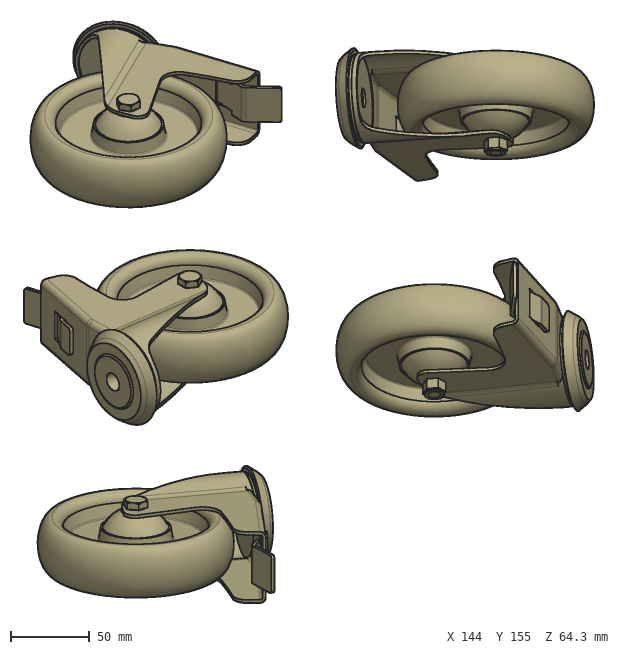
import cadquery as cq
import math


selection_margin = 0.6

wheel_radius = 62.5
ridge_radius = 53.3
tyre_half_width = 17.7
rim_radius = 46.3
rim_half_width = 11.3
well_radius = 44.2
disc_half_width = 2.8
hub_foot_radius = 23.7
hub_top_radius = 22.3
hub_half_length = 10.8
foot_fillet = 0.8
dome_radius = 23.7
hub_bore_radius = math.sqrt(dome_radius ** 2 - hub_half_length ** 2)

sheet = 2.2
base_sheet = 1.5
fork_half_width = 24.0
wall_inner_z = fork_half_width - sheet
fork_top_y = 80.8
skirt_radius = 28.8
skirt_blend = 9.3
fork_edge_radius = 4.0
roof_bend_x = 6.7
roof_bend_radius = 14.0
roof_angle = 12.0
roof_slope = math.tan(math.radians(roof_angle))
skirt_rim_y = 77.5
arm_underside_y = 50.4
fork_end_x = 65.7
envelope_end_x = 69.8
envelope_floor_y = -15.5
slot_start_x = 35.0
slot_end_x = 48.0
slot_half_width = 10.0

swivel_x = -31.3
overall_length = 155.0
head_top_y = overall_length - wheel_radius
head_radius = 32.1
neck_radius = 28.2
neck_top_y = 82.6
lip_radius = 30.7
head_edge_y = 83.4
crown_edge_radius = 28.4
crown_edge_y = 89.0
shoulder_radius = 25.9
shoulder_y = 91.6
boss_foot_radius = 18.6
boss_radius = 17.4
mount_hole_radius = 6.0

lever_sheet = 2.3
lever_half_width = 12.7
tongue_half_width = 9.9
tongue_start_x = 24.6
tongue_bend_x = 36.1
tongue_gap = 0.3
shoulder_offset = 10.5
lever_valley = (57.0, 62.2)
lever_tip = (80.3, 69.0)
lever_bend_radius = 3.1
lever_corner_radius = 2.0

shank_radius = 4.0
bolt_head_flats = 13.5
bolt_head_top_z = 29.5
bolt_head_base_z = 24.6
bolt_collar_radius = 5.7
head_chamfer = 1.0
nut_flats = 12.9
nut_turn = 30.0
nut_hex_end_z = -31.0
nut_end_z = -32.2
nut_collar_radius = 6.2


def rounded_outline(corners):
    """Closed XY outline from (x, y, radius) corners, rounded by tangent arcs."""
    stops = []
    count = len(corners)
    for i, (x, y, radius) in enumerate(corners):
        corner = cq.Vector(x, y, 0)
        back = (cq.Vector(*corners[i - 1][:2], 0) - corner).normalized()
        ahead = (cq.Vector(*corners[(i + 1) % count][:2], 0) - corner).normalized()
        half_angle = back.getAngle(ahead) / 2
        reach = radius / math.tan(half_angle)
        bisector = (back + ahead).normalized()
        middle = corner + bisector * (radius / math.sin(half_angle) - radius)
        stops.append((corner + back * reach, middle, corner + ahead * reach, radius))

    outline = cq.Workplane("XY").moveTo(*stops[0][2].toTuple()[:2])
    for start, middle, end, radius in stops[1:] + stops[:1]:
        outline = outline.lineTo(*start.toTuple()[:2])
        if radius > 0:
            outline = outline.threePointArc(middle.toTuple()[:2], end.toTuple()[:2])
    return outline.close()


def extrude_across(outline, half_width):
    """Extrude an XY outline symmetrically about Z = 0."""
    return outline.extrude(half_width, both=True)


def slab(x_range, y_range, z_range):
    """Box between pairs of limits along each axis."""
    sizes = [high - low for low, high in (x_range, y_range, z_range)]
    return cq.Workplane("XY").box(*sizes, centered=False).translate((x_range[0], y_range[0], z_range[0]))


def cylinder_z(radius, low_z, high_z):
    """Cylinder on the wheel axle."""
    return cq.Workplane("XY").workplane(offset=low_z).circle(radius).extrude(high_z - low_z)


def cylinder_y(radius, low_y, high_y):
    """Cylinder on the swivel axis."""
    base = cq.Workplane("XZ", origin=(swivel_x, low_y, 0))
    return base.circle(radius).extrude(low_y - high_y)


def hex_prism(flats, low_z, high_z, turn=0):
    """Hexagon on the wheel axle; at turn 0 two corners lie on the X axis."""
    across_corners = flats / math.cos(math.pi / 6)
    prism = cq.Workplane("XY").workplane(offset=low_z).polygon(6, across_corners).extrude(high_z - low_z)
    return prism.rotate((0, 0, 0), (0, 0, 1), turn)


def roof_y(x):
    """Height of the sloping top face of the fork."""
    return fork_top_y - (x - roof_bend_x) * roof_slope


def make_tyre():
    """Tyre with an elliptical tread and rounded inner lips."""
    lip_width = ridge_radius - rim_radius
    lip_depth = tyre_half_width - rim_half_width
    diagonal = math.sqrt(0.5)
    lip_x = ridge_radius - lip_width * diagonal
    lip_z = rim_half_width + lip_depth * diagonal
    profile = (
        cq.Workplane("XZ")
        .moveTo(rim_radius, -rim_half_width)
        .threePointArc((lip_x, -lip_z), (ridge_radius, -tyre_half_width))
        .ellipseArc(wheel_radius - ridge_radius, tyre_half_width, -90, 90, startAtCurrent=True)
        .threePointArc((lip_x, lip_z), (rim_radius, rim_half_width))
        .close()
    )
    return profile.revolve(360, (0, 0, 0), (0, 1, 0))


def make_rim():
    """Dished rim with a thin disc and a tapered hub sleeve."""
    half_profile = [
        (rim_radius, rim_half_width),
        (well_radius, disc_half_width),
        (hub_foot_radius, disc_half_width),
        (hub_top_radius, hub_half_length),
        (hub_bore_radius, hub_half_length),
    ]
    mirrored = [(radius, -z) for radius, z in reversed(half_profile)]
    rim = cq.Workplane("XZ").polyline(half_profile + mirrored).close().revolve(360, (0, 0, 0), (0, 1, 0))
    for face_z in (-disc_half_width, disc_half_width):
        disc_edges = cq.selectors.BoxSelector(
            (-wheel_radius, -wheel_radius, face_z - selection_margin),
            (wheel_radius, wheel_radius, face_z + selection_margin),
            True,
        )
        rim = rim.edges("%CIRCLE").edges(disc_edges).fillet(foot_fillet)
    return rim


def make_hub():
    """Hub with a spherical dome at each end, bored for the axle bolt."""
    hub = cylinder_z(hub_bore_radius, -wall_inner_z, wall_inner_z)
    hub = hub.intersect(cq.Workplane("XY").sphere(dome_radius))
    return hub.cut(cylinder_z(shank_radius, -wall_inner_z, wall_inner_z))


def skirt_blend_fill(inset):
    """Round skirt and side walls joined by upright blends, up to the roof edge rounds."""
    half_width = fork_half_width - inset
    top_y = fork_top_y - fork_edge_radius
    seam_x = swivel_x + math.sqrt((skirt_radius - inset) ** 2 - half_width ** 2)
    seams = cq.selectors.BoxSelector(
        (seam_x - selection_margin, envelope_floor_y, -skirt_radius),
        (seam_x + selection_margin, top_y - selection_margin, skirt_radius),
    )
    walls = slab((swivel_x, envelope_end_x), (envelope_floor_y, top_y), (-half_width, half_width))
    joined = walls.union(cylinder_y(skirt_radius - inset, envelope_floor_y, top_y))
    joined = joined.edges(seams).fillet(skirt_blend + inset)
    return joined.intersect(
        slab((swivel_x, 0), (envelope_floor_y, top_y), (-skirt_radius, skirt_radius))
    )


def fork_envelope(inset):
    """Solid bounded by the fork's outer skin, moved inwards by inset."""
    half_width = fork_half_width - inset
    top_y = fork_top_y - inset
    end_y = roof_y(envelope_end_x) - inset
    bend_radius = roof_bend_radius - inset
    side = rounded_outline([
        (swivel_x, envelope_floor_y, 0),
        (envelope_end_x, envelope_floor_y, 0),
        (envelope_end_x, end_y, 0),
        (roof_bend_x, top_y, bend_radius),
        (swivel_x, top_y, 0),
    ])
    arms = extrude_across(side, half_width)
    roof_edges = cq.selectors.BoxSelector(
        (swivel_x + selection_margin, end_y, -skirt_radius),
        (envelope_end_x - selection_margin, top_y + selection_margin, skirt_radius),
    )
    arms = arms.edges("<Z or >Z").edges(roof_edges).fillet(fork_edge_radius - inset)

    skirt = cylinder_y(skirt_radius - inset, envelope_floor_y, top_y)
    return arms.union(skirt).union(skirt_blend_fill(inset))


def make_fork():
    """Sheet metal fork: round skirt, two side walls and a sloping roof."""
    skirt_front_x = swivel_x - head_radius
    skirt_rim = (skirt_front_x, skirt_rim_y, 0)
    skirt_bend = (-45.0, skirt_rim_y, 12.4)
    leg_front_corner = (-13.5, -6.5, 17.0)
    leg_rear_corner = (15.3, -11.2, 7.5)
    arm_throat = (7.8, arm_underside_y, 12.4)
    arm_kink = (37.7, arm_underside_y, 0)
    arm_rear_corner = (61.2, 49.5, 10.0)
    side_outline = rounded_outline([
        (skirt_front_x, head_top_y, 0),
        skirt_rim,
        skirt_bend,
        leg_front_corner,
        leg_rear_corner,
        arm_throat,
        arm_kink,
        arm_rear_corner,
        (fork_end_x, roof_y(fork_end_x), 0),
        (fork_end_x, head_top_y, 0),
    ])
    fork = fork_envelope(0).cut(fork_envelope(sheet))
    fork = fork.intersect(extrude_across(side_outline, skirt_radius))

    fork = fork.cut(cylinder_y(skirt_radius - sheet, fork_top_y - 2 * sheet, fork_top_y - base_sheet))
    fork = fork.cut(cylinder_y(mount_hole_radius, fork_top_y - 2 * sheet, fork_top_y))
    fork = fork.cut(cylinder_z(shank_radius, -fork_half_width, fork_half_width))
    return fork.cut(slab(
        (slot_start_x, slot_end_x),
        (roof_y(slot_end_x) - 2 * sheet, fork_top_y),
        (-slot_half_width, slot_half_width),
    ))


def make_head():
    """Turned swivel head with a raised top boss and a neck on the fork."""
    profile = [
        (mount_hole_radius, fork_top_y),
        (neck_radius, fork_top_y),
        (neck_radius, neck_top_y),
        (lip_radius, neck_top_y),
        (head_radius, head_edge_y),
        (crown_edge_radius, crown_edge_y),
        (shoulder_radius, shoulder_y),
        (boss_foot_radius, shoulder_y),
        (boss_radius, head_top_y),
        (mount_hole_radius, head_top_y),
    ]
    points = [(swivel_x + radius, y) for radius, y in profile]
    return cq.Workplane("XY").polyline(points).close().revolve(360, (swivel_x, 0, 0), (swivel_x, 1, 0))


def strip_outline(path, thickness, bend_radius):
    """Outline of a bent strip of even thickness around an open centre path."""
    points = [cq.Vector(x, y, 0) for x, y in path]
    headings = [(b - a).normalized() for a, b in zip(points, points[1:])]
    upper = []
    lower = []
    for i, point in enumerate(points):
        before = headings[max(i - 1, 0)]
        after = headings[min(i, len(headings) - 1)]
        normal = cq.Vector(-before.y - after.y, before.x + after.x, 0).normalized()
        half_turn = before.getAngle(after) / 2
        offset = normal * (thickness / 2 / math.cos(half_turn))
        turn_sign = math.copysign(1, before.cross(after).z)
        bend = bend_radius if 0 < i < len(points) - 1 else 0
        inner_change = turn_sign * thickness / 2 if bend else 0
        upper.append((point.x + offset.x, point.y + offset.y, bend - inner_change))
        lower.append((point.x - offset.x, point.y - offset.y, bend + inner_change))
    return rounded_outline(upper + lower[::-1])


def make_lever():
    """Bent brake lever: narrow tongue hooked over the roof, wide pedal below."""
    tongue_rise = (tongue_gap + lever_sheet / 2) * math.hypot(1, roof_slope)
    path = [
        (tongue_start_x, roof_y(tongue_start_x) + tongue_rise),
        (tongue_bend_x, roof_y(tongue_bend_x) + tongue_rise),
        lever_valley,
        lever_tip,
    ]
    lever = extrude_across(strip_outline(path, lever_sheet, lever_bend_radius), lever_half_width)

    valley_x, valley_y = lever_valley
    bend_x, bend_y = path[1]
    drop_angle = math.atan2(valley_y - bend_y, valley_x - bend_x)
    shoulder = (
        valley_x - shoulder_offset * math.cos(drop_angle),
        valley_y - shoulder_offset * math.sin(drop_angle),
        0,
    )
    notch_length = valley_x - tongue_start_x
    notch_reach = notch_length / 2
    for low_z, high_z in ((-lever_half_width, -tongue_half_width), (tongue_half_width, lever_half_width)):
        notch = slab((-notch_length, 0), (-notch_reach, notch_reach), (low_z, high_z))
        notch = notch.rotate((0, 0, 0), (0, 0, 1), math.degrees(drop_angle))
        lever = lever.cut(notch.translate(shoulder))

    for end_x in (tongue_start_x, lever_tip[0]):
        end_faces = cq.selectors.BoxSelector(
            (end_x - selection_margin, 0, -lever_half_width),
            (end_x + selection_margin, head_top_y, lever_half_width),
        )
        lever = lever.faces(end_faces).edges("not |Z").fillet(lever_corner_radius)
    return lever


def make_bolt():
    """Axle bolt with a chamfered hexagon head on a round collar."""
    bolt_head = hex_prism(bolt_head_flats, bolt_head_base_z, bolt_head_top_z)
    corner_radius = bolt_head_flats / 2 / math.cos(math.pi / 6)
    bolt_head = bolt_head.intersect(
        cylinder_z(corner_radius, bolt_head_base_z, bolt_head_top_z).faces(">Z").chamfer(head_chamfer)
    )
    collar = cylinder_z(bolt_collar_radius, fork_half_width, bolt_head_base_z)
    shank = cylinder_z(shank_radius, nut_end_z, fork_half_width)
    return shank.union(collar).union(bolt_head)


def make_nut():
    """Lock nut with a round collar at its outer end."""
    nut = hex_prism(nut_flats, nut_hex_end_z, -fork_half_width, nut_turn)
    nut = nut.union(cylinder_z(nut_collar_radius, nut_end_z, nut_hex_end_z))
    return nut.cut(cylinder_z(shank_radius, nut_end_z, -fork_half_width))


tyre = make_tyre()
rim = make_rim()
hub = make_hub()
fork = make_fork()
head = make_head()
lever = make_lever()
bolt = make_bolt()
nut = make_nut()

bodies = [tyre, rim, hub, fork, head, lever, bolt, nut]
result = cq.Compound.makeCompound([body.val() for body in bodies])